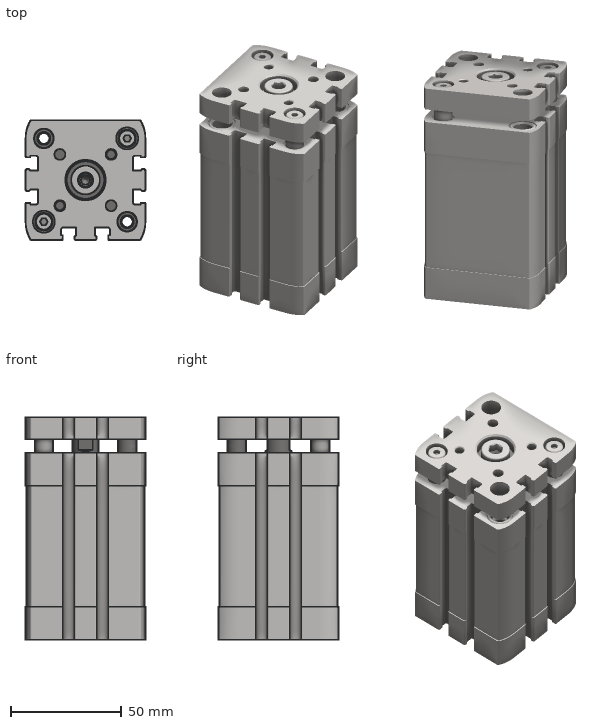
import cadquery as cq
import math

TOTAL_HEIGHT = 101.1
PLATE_THICKNESS = 10.0
PLATE_GAP = 6.1
CAP_HEIGHT = 15.0
PLATE_BOTTOM = TOTAL_HEIGHT - PLATE_THICKNESS
HOUSING_HEIGHT = PLATE_BOTTOM - PLATE_GAP

WIDTH = 54.5
HALF_WIDTH = WIDTH / 2
SIDE_FLAT_HALF = 18.9
CORNER_ARC_RADIUS = 16.0
CORNER_FILLET = 0.8
BARREL_INSET = 0.4

SLOT_LIP_INNER = 5.1
SLOT_LIP_OUTER = 10.3
SLOT_WALL_INNER = 4.3
SLOT_WALL_OUTER = 11.0
SLOT_DEPTH = 5.7
LIP_THICKNESS = 2.2
RIB_FILLET = 0.8
OUTER_LIP_FILLET = 0.5
SLOT_FLOOR_FILLET = 0.9
SLOT_SIDES = (-90, 0, 90)

CORNER_OFFSET = 18.9
ROD_CORNERS = [(-CORNER_OFFSET, -CORNER_OFFSET), (CORNER_OFFSET, CORNER_OFFSET)]
MOUNT_CORNERS = [(-CORNER_OFFSET, CORNER_OFFSET), (CORNER_OFFSET, -CORNER_OFFSET)]
ROD_DIAMETER = 8.5
ROD_SEAT_DIAMETER = 10.0
ROD_SEAT_DEPTH = 0.5

SCREW_POCKET_DIAMETER = 10.0
SCREW_POCKET_DEPTH = 5.1
SCREW_HEAD_DIAMETER = 8.0
SCREW_HEAD_CHAMFER = 0.4
SCREW_HEAD_RECESS = 0.7
SCREW_HEX_FLATS = 3.0
SCREW_HEX_DEPTH = 2.0

ACCESS_DIAMETER = 9.0
MOUNT_BORE_DIAMETER = 8.6
MOUNT_BORE_DEPTH = 5.1
MOUNT_BORE_RIM_DIAMETER = 10.0
MOUNT_HOLE_DIAMETER = 5.0
MOUNT_HOLE_RIM_DIAMETER = 6.0
GROOVE_OUTER_DIAMETER = 12.8
GROOVE_INNER_DIAMETER = 11.9
GROOVE_DEPTH = 0.5
GROOVE_INNER_CHAMFER = 0.4

SMALL_HOLE_OFFSET = 11.6
SMALL_HOLE_DIAMETER = 5.0
TAPPED_HOLE_DIAMETER = 4.1

PISTON_ROD_DIAMETER = 11.9
PISTON_ROD_FLATS = 10.0
FLATS_BOTTOM = HOUSING_HEIGHT + 1.3
FLATS_RAMP_DROP = 0.7
ROD_HEAD_DIAMETER = 13.0
ROD_HEAD_FILLET = 0.7
ROD_HEAD_RECESS = 0.5
CENTER_POCKET_DIAMETER = 17.0
CENTER_POCKET_CHAMFER = 0.7
CENTER_POCKET_DEPTH = 6.0
ROD_HEX_FLATS = 6.0
ROD_HEX_RIM_DIAMETER = 7.0
ROD_HEX_DEPTH = 4.0
ROD_DRILL_DIAMETER = 4.1
ROD_DRILL_DEPTH = 10.1


def hex_corner_diameter(flats):
    return flats / math.cos(math.radians(30))


def cylinder(diameter, bottom, top, place=(0, 0)):
    return (
        cq.Workplane("XY", origin=(*place, bottom)).circle(diameter / 2).extrude(top - bottom)
    )


def cone(bottom_diameter, top_diameter, bottom, top, place=(0, 0)):
    solid = cq.Solid.makeCone(
        bottom_diameter / 2, top_diameter / 2, top - bottom, cq.Vector(*place, bottom)
    )
    return cq.Workplane(obj=solid)


def countersink(rim_diameter, hole_diameter, surface, place=(0, 0)):
    """45 degree cone that widens a hole to the rim diameter at the surface."""
    depth = (rim_diameter - hole_diameter) / 2
    return cone(hole_diameter, rim_diameter, surface - depth, surface, place)


def outline_block(bottom, top, inset=0.0):
    """Block whose sides curve inwards to the corners; the corner edges are rounded."""
    half = HALF_WIDTH - inset
    radius = CORNER_ARC_RADIUS - inset
    rise = half - SIDE_FLAT_HALF
    corner = half - radius + math.sqrt(radius**2 - rise**2)
    mid_angle = math.asin(rise / radius) / 2
    mid_x = half - radius * (1 - math.cos(mid_angle))
    mid_y = SIDE_FLAT_HALF + radius * math.sin(mid_angle)
    block = (
        cq.Workplane("XY", origin=(0, 0, bottom))
        .moveTo(half, -SIDE_FLAT_HALF)
        .lineTo(half, SIDE_FLAT_HALF)
        .threePointArc((mid_x, mid_y), (corner, half))
        .lineTo(-corner, half)
        .threePointArc((-mid_x, mid_y), (-half, SIDE_FLAT_HALF))
        .lineTo(-half, -SIDE_FLAT_HALF)
        .threePointArc((-mid_x, -mid_y), (-corner, -half))
        .lineTo(corner, -half)
        .threePointArc((mid_x, -mid_y), (half, -SIDE_FLAT_HALF))
        .close()
        .extrude(top - bottom)
    )
    return block.edges("|Z and (>Y or <Y)").fillet(CORNER_FILLET)


def slot_pair(bottom, top, inset=0.0):
    """The two mirrored T-slots of the -Y side, with rounded lips."""
    face = -HALF_WIDTH + inset
    lip_end = -HALF_WIDTH + LIP_THICKNESS
    floor = -HALF_WIDTH + SLOT_DEPTH
    slot = (
        cq.Workplane("XY", origin=(0, 0, bottom))
        .moveTo(SLOT_LIP_INNER - RIB_FILLET, face)
        .radiusArc((SLOT_LIP_INNER, face + RIB_FILLET), -RIB_FILLET)
        .lineTo(SLOT_LIP_INNER, lip_end - (SLOT_LIP_INNER - SLOT_WALL_INNER))
        .lineTo(SLOT_WALL_INNER, lip_end)
        .lineTo(SLOT_WALL_INNER, floor)
        .lineTo(SLOT_WALL_OUTER - SLOT_FLOOR_FILLET, floor)
        .radiusArc((SLOT_WALL_OUTER, floor - SLOT_FLOOR_FILLET), SLOT_FLOOR_FILLET)
        .lineTo(SLOT_WALL_OUTER, lip_end)
        .lineTo(SLOT_LIP_OUTER, lip_end)
        .lineTo(SLOT_LIP_OUTER, face + OUTER_LIP_FILLET)
        .radiusArc((SLOT_LIP_OUTER + OUTER_LIP_FILLET, face), -OUTER_LIP_FILLET)
        .close()
        .extrude(top - bottom)
    )
    return slot.union(slot.mirror("YZ"))


def slotted_block(bottom, top, inset=0.0):
    block = outline_block(bottom, top, inset)
    slots = slot_pair(bottom, top, inset)
    for angle in SLOT_SIDES:
        block = block.cut(slots.rotate((0, 0, 0), (0, 0, 1), angle))
    return block


def mounting_hole(place):
    """Stepped through hole with a tapped lower part and a ring groove round its mouth."""
    step = HOUSING_HEIGHT - MOUNT_BORE_DEPTH
    hole = cylinder(MOUNT_HOLE_DIAMETER, 0, HOUSING_HEIGHT, place)
    bore = cylinder(MOUNT_BORE_DIAMETER, step, HOUSING_HEIGHT, place)
    groove_bottom = HOUSING_HEIGHT - GROOVE_DEPTH
    groove = cylinder(GROOVE_OUTER_DIAMETER, groove_bottom, HOUSING_HEIGHT, place).cut(
        cylinder(GROOVE_INNER_DIAMETER, groove_bottom, HOUSING_HEIGHT, place)
        .faces(">Z")
        .edges()
        .chamfer(GROOVE_INNER_CHAMFER)
    )
    return (
        hole.union(bore)
        .union(countersink(MOUNT_HOLE_RIM_DIAMETER, MOUNT_HOLE_DIAMETER, step, place))
        .union(countersink(MOUNT_BORE_RIM_DIAMETER, MOUNT_BORE_DIAMETER, HOUSING_HEIGHT, place))
        .union(groove)
    )


def make_housing():
    """Barrel between two slightly larger end caps, with sockets for the three rods."""
    cap_bottom = HOUSING_HEIGHT - CAP_HEIGHT
    housing = (
        slotted_block(0, CAP_HEIGHT)
        .union(slotted_block(CAP_HEIGHT, cap_bottom, BARREL_INSET))
        .union(slotted_block(cap_bottom, HOUSING_HEIGHT))
    )
    housing = housing.cut(cylinder(PISTON_ROD_DIAMETER, cap_bottom, HOUSING_HEIGHT))
    for place in ROD_CORNERS:
        housing = housing.cut(cylinder(ROD_DIAMETER, cap_bottom, HOUSING_HEIGHT, place))
        housing = housing.cut(
            cylinder(ROD_SEAT_DIAMETER, HOUSING_HEIGHT - ROD_SEAT_DEPTH, HOUSING_HEIGHT, place)
        )
    for place in MOUNT_CORNERS:
        housing = housing.cut(mounting_hole(place))
    return housing


def hex_socket(flats, bottom, top, place=(0, 0)):
    return (
        cq.Workplane("XY", origin=(*place, bottom))
        .polygon(6, hex_corner_diameter(flats))
        .extrude(top - bottom)
    )


def plate_screw(place):
    """Socket screw head standing in its pocket in the plate."""
    head_top = TOTAL_HEIGHT - SCREW_HEAD_RECESS
    head = cylinder(SCREW_HEAD_DIAMETER, TOTAL_HEIGHT - SCREW_POCKET_DEPTH, head_top, place)
    head = head.faces(">Z").edges().chamfer(SCREW_HEAD_CHAMFER)
    return head.cut(hex_socket(SCREW_HEX_FLATS, head_top - SCREW_HEX_DEPTH, head_top, place))


def piston_rod():
    """Rod with two wrench flats that run out in ramps, a wider head in the plate and a hexagon socket."""
    head_top = TOTAL_HEIGHT - ROD_HEAD_RECESS
    rod = cylinder(PISTON_ROD_DIAMETER, HOUSING_HEIGHT - CAP_HEIGHT, PLATE_BOTTOM)
    rod_radius = PISTON_ROD_DIAMETER / 2
    flat_side = (
        cq.Workplane("YZ")
        .moveTo(PISTON_ROD_FLATS / 2, FLATS_BOTTOM)
        .lineTo(rod_radius, FLATS_BOTTOM - FLATS_RAMP_DROP)
        .lineTo(rod_radius, PLATE_BOTTOM)
        .lineTo(PISTON_ROD_FLATS / 2, PLATE_BOTTOM)
        .close()
        .extrude(rod_radius, both=True)
    )
    flats = flat_side.union(flat_side.mirror("XZ"))
    head = cylinder(ROD_HEAD_DIAMETER, PLATE_BOTTOM, head_top)
    head = head.faces(">Z").edges().fillet(ROD_HEAD_FILLET)
    socket_bottom = head_top - ROD_HEX_DEPTH
    drill_bottom = head_top - ROD_DRILL_DEPTH
    drill_radius = ROD_DRILL_DIAMETER / 2
    rim = countersink(ROD_HEX_RIM_DIAMETER, ROD_HEX_FLATS, head_top)
    return (
        rod.cut(flats)
        .union(head)
        .cut(hex_socket(ROD_HEX_FLATS, socket_bottom, head_top))
        .cut(rim)
        .cut(countersink(ROD_HEX_FLATS, ROD_DRILL_DIAMETER, socket_bottom))
        .cut(cylinder(ROD_DRILL_DIAMETER, drill_bottom, socket_bottom))
        .cut(cone(0, ROD_DRILL_DIAMETER, drill_bottom - drill_radius, drill_bottom))
    )


def make_slide():
    """Front plate with its screws, guide rods and piston rod."""
    plate = slotted_block(PLATE_BOTTOM, TOTAL_HEIGHT)
    for x_sign in (-1, 1):
        for y_sign in (-1, 1):
            place = (x_sign * SMALL_HOLE_OFFSET, y_sign * SMALL_HOLE_OFFSET)
            if x_sign == y_sign:
                plate = plate.cut(cylinder(TAPPED_HOLE_DIAMETER, PLATE_BOTTOM, TOTAL_HEIGHT, place))
                plate = plate.cut(
                    countersink(SMALL_HOLE_DIAMETER, TAPPED_HOLE_DIAMETER, TOTAL_HEIGHT, place)
                )
            else:
                plate = plate.cut(cylinder(SMALL_HOLE_DIAMETER, PLATE_BOTTOM, TOTAL_HEIGHT, place))
    for place in MOUNT_CORNERS:
        plate = plate.cut(cylinder(ACCESS_DIAMETER, PLATE_BOTTOM, TOTAL_HEIGHT, place))
    for place in ROD_CORNERS:
        pocket_bottom = TOTAL_HEIGHT - SCREW_POCKET_DEPTH
        plate = plate.cut(cylinder(SCREW_POCKET_DIAMETER, pocket_bottom, TOTAL_HEIGHT, place))
        plate = plate.union(plate_screw(place))
        plate = plate.union(
            cylinder(ROD_DIAMETER, HOUSING_HEIGHT - CAP_HEIGHT, PLATE_BOTTOM, place)
        )
    center_rim_diameter = CENTER_POCKET_DIAMETER + 2 * CENTER_POCKET_CHAMFER
    center_pocket = cylinder(
        CENTER_POCKET_DIAMETER, TOTAL_HEIGHT - CENTER_POCKET_DEPTH, TOTAL_HEIGHT
    ).union(countersink(center_rim_diameter, CENTER_POCKET_DIAMETER, TOTAL_HEIGHT))
    center_hole = cylinder(ROD_HEAD_DIAMETER, PLATE_BOTTOM, TOTAL_HEIGHT)
    return plate.cut(center_pocket).cut(center_hole).union(piston_rod())


housing = make_housing()
slide = make_slide()
result = cq.Compound.makeCompound([housing.val(), slide.val()])